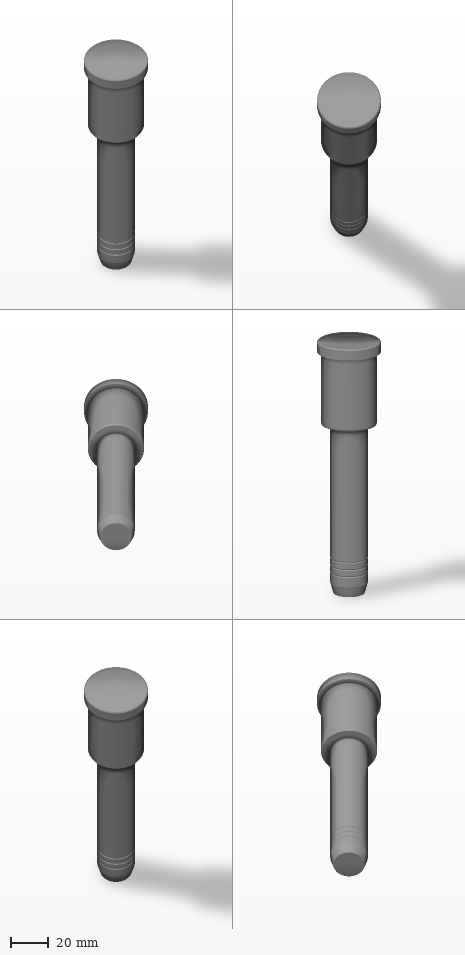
import cadquery as cq

total_length = 140.0
head_diameter = 34.0
body_diameter = 30.0
shaft_diameter = 20.0

head_height = 6.0
body_bottom_z = 94.0
tip_height = 6.0

head_chamfer = 0.5
body_chamfer_width = 0.4
body_chamfer_height = 0.8
tip_diameter = 16.7
tip_fillet = 0.4

relief_width = 0.8
relief_depth = 0.4
ring_width = 0.8
ring_depth = 0.4
ring_heights = (11.6, 15.5, 19.6)


def cylinder(diameter, bottom_z, top_z):
    """Solid round section of the pin between two heights."""
    return cq.Workplane("XY").workplane(offset=bottom_z).circle(diameter / 2).extrude(top_z - bottom_z)


def relief_groove(diameter, top_z):
    """Square-bottomed ring of material to remove just below a shoulder."""
    bottom_z = top_z - relief_width
    core = cylinder(diameter - 2 * relief_depth, bottom_z, top_z)
    return cylinder(diameter, bottom_z, top_z).cut(core)


def ring_groove(diameter, middle_z):
    """V-shaped ring of material to remove, centred on the given height."""
    radius = diameter / 2
    return (
        cq.Workplane("XZ")
        .moveTo(radius, middle_z - ring_width / 2)
        .lineTo(radius - ring_depth, middle_z)
        .lineTo(radius, middle_z + ring_width / 2)
        .close()
        .revolve(360, (0, 0, 0), (0, 1, 0))
    )


head_bottom_z = total_length - head_height
head = cylinder(head_diameter, head_bottom_z, total_length).faces(">Z").chamfer(head_chamfer)

body = cylinder(body_diameter, body_bottom_z, head_bottom_z)
body = body.faces("<Z").edges().chamfer(body_chamfer_height, body_chamfer_width)
body = body.cut(relief_groove(body_diameter, head_bottom_z))

shaft = cylinder(shaft_diameter, tip_height, body_bottom_z)
shaft = shaft.cut(relief_groove(shaft_diameter, body_bottom_z))
for ring_z in ring_heights:
    shaft = shaft.cut(ring_groove(shaft_diameter, ring_z))

tip = (
    cq.Workplane("XY")
    .circle(tip_diameter / 2)
    .workplane(offset=tip_height)
    .circle(shaft_diameter / 2)
    .loft(ruled=True)
    .faces("<Z")
    .edges()
    .fillet(tip_fillet)
)

result = head.union(body).union(shaft).union(tip)